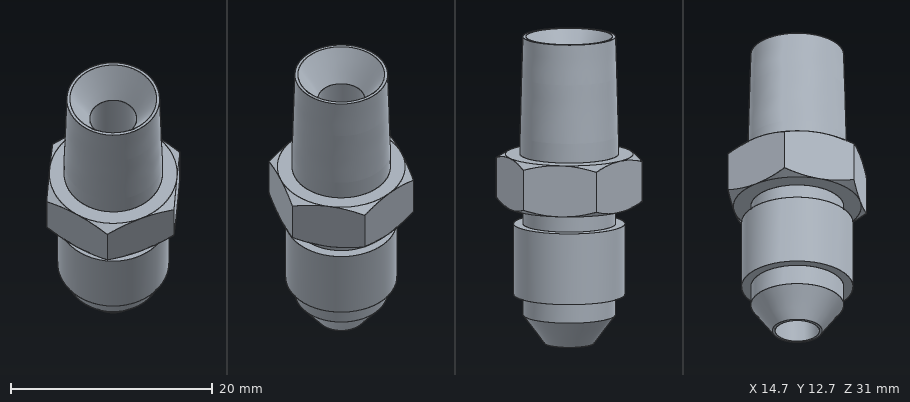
import cadquery as cq
import math

total_height = 31.0
nose_cone_top = 2.88
collar_bottom = 4.93
collar_top = 12.1
hex_bottom = 13.95
hex_top = 19.12
taper_bottom = 21.05
taper_break = 26.93

nose_tip_radius = 2.48
neck_radius = 4.62
collar_radius = 5.55
stem_radius = 4.9
taper_break_radius = 4.75
stem_top_radius = 4.62

hex_across_flats = 12.7
hex_chamfer_angle = 30.0
hex_sides = 6

lower_bore_radius = 2.2
upper_bore_radius = 2.32
ledge_height = hex_bottom
mouth_radius = 4.3
mouth_depth = 3.13


def revolve_profile(points):
    """Turn a closed (radius, height) outline around the Z axis."""
    return cq.Workplane("XZ").polyline(points).close().revolve(360, (0, 0, 0), (0, 1, 0))


def turned_body():
    return revolve_profile([
        (0, 0),
        (nose_tip_radius, 0),
        (neck_radius, nose_cone_top),
        (neck_radius, collar_bottom),
        (collar_radius, collar_bottom),
        (collar_radius, collar_top),
        (neck_radius, collar_top),
        (neck_radius, hex_bottom),
        (stem_radius, hex_bottom),
        (stem_radius, taper_bottom),
        (taper_break_radius, taper_break),
        (stem_top_radius, total_height),
        (0, total_height),
    ])


def chamfered_hex():
    """Hexagon whose corners are trimmed by a cone at each end."""
    flat_radius = hex_across_flats / 2
    corner_radius = flat_radius / math.cos(math.pi / hex_sides)
    corner_drop = (corner_radius - flat_radius) * math.tan(math.radians(hex_chamfer_angle))
    prism = (
        cq.Workplane("XY", origin=(0, 0, hex_bottom))
        .polygon(hex_sides, 2 * corner_radius)
        .extrude(hex_top - hex_bottom)
    )
    envelope = revolve_profile([
        (0, hex_bottom),
        (flat_radius, hex_bottom),
        (corner_radius, hex_bottom + corner_drop),
        (corner_radius, hex_top - corner_drop),
        (flat_radius, hex_top),
        (0, hex_top),
    ])
    return prism.intersect(envelope)


def bore():
    return revolve_profile([
        (0, 0),
        (lower_bore_radius, 0),
        (lower_bore_radius, ledge_height),
        (upper_bore_radius, ledge_height),
        (upper_bore_radius, total_height - mouth_depth),
        (mouth_radius, total_height),
        (0, total_height),
    ])


result = turned_body().union(chamfered_hex()).cut(bore())